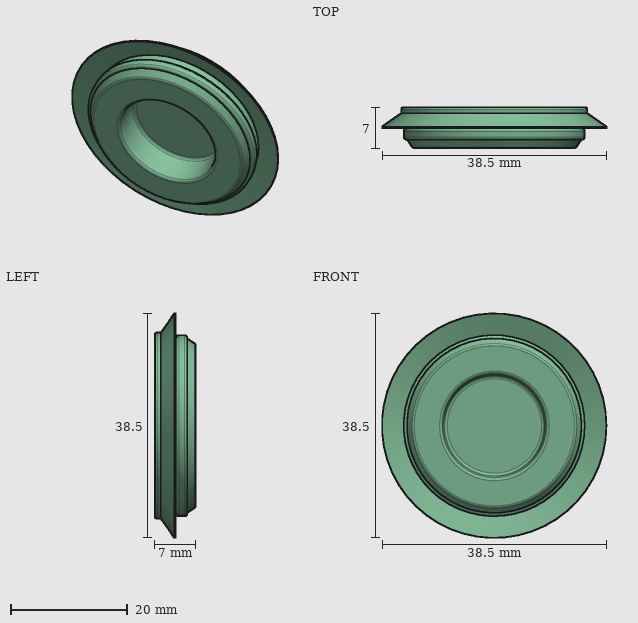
import cadquery as cq

thickness = 7.0
rim_radius = 19.25

disc_radius = 15.98
disc_front = 5.95
disc_fillet = 0.4
rim_front = 3.43
rim_back = 3.7

edge_fillet = 0.5

neck_radius = 15.0
neck_back = 4.93

boss_radius = 15.5
boss_back = 3.4
boss_back_fillet = 0.45
boss_shoulder = 1.42
cone_back_radius = 14.95
cone_front_radius = 13.98

pocket_depth = 5.43
pocket_mouth_radius = 8.95
pocket_floor_radius = 8.55


def turn(profile):
    """Revolve a closed (radius, y) profile about the Y axis."""
    return cq.Workplane("XY").polyline(profile).close().revolve(360, (0, 0, 0), (0, 1, 0))


def fillet_circle(body, radius, y, fillet):
    """Round the circular edge with the given radius and position along Y."""
    reach = radius + 0.005
    half_height = 0.005
    edge = cq.selectors.BoxSelector(
        (-reach, y - half_height, -reach), (reach, y + half_height, reach), boundingbox=True
    )
    circle = cq.selectors.RadiusNthSelector(-1)
    return body.edges(edge).edges(circle).fillet(fillet)


def make_body():
    """Back disc, thin flared lip, neck and boss as one turned solid."""
    body = turn([
        (0, 0),
        (cone_front_radius, 0),
        (cone_back_radius, boss_shoulder),
        (boss_radius, boss_shoulder),
        (boss_radius, boss_back),
        (neck_radius, boss_back),
        (neck_radius, neck_back),
        (rim_radius, rim_front),
        (rim_radius, rim_back),
        (disc_radius, disc_front),
        (disc_radius, thickness),
        (0, thickness),
    ])
    body = fillet_circle(body, cone_front_radius, 0, edge_fillet)
    body = fillet_circle(body, boss_radius, boss_shoulder, edge_fillet)
    body = fillet_circle(body, boss_radius, boss_back, boss_back_fillet)
    return fillet_circle(body, disc_radius, thickness, disc_fillet)


def cut_pocket(body):
    """Cut the tapered pocket, then round its floor and mouth."""
    pocket = turn([
        (0, 0),
        (pocket_mouth_radius, 0),
        (pocket_floor_radius, pocket_depth),
        (0, pocket_depth),
    ])
    body = body.cut(pocket)
    body = fillet_circle(body, pocket_floor_radius, pocket_depth, edge_fillet)
    return fillet_circle(body, pocket_mouth_radius, 0, edge_fillet)


result = cut_pocket(make_body())